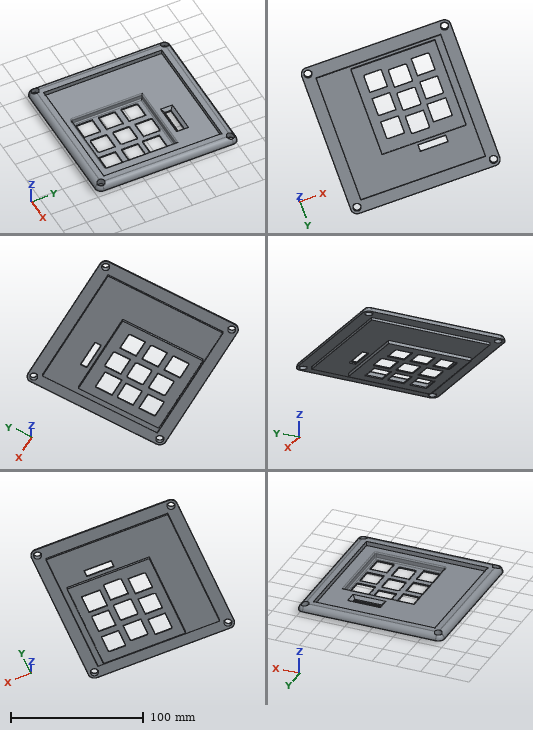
import cadquery as cq

plate_size = 120.0
rim_radius = 5.0
hole_diameter = 6.0
hole_offset = plate_size / 2 - rim_radius

tray_size = 100.3
tray_drop = 2.0
recess_depth = 3.6
tray_floor = rim_radius - recess_depth

box_drop = 2.6
box_bottom = -tray_drop - box_drop
keypad_x = 10.9
keypad_y = -13.2
pocket_width = 57.6
pocket_length = 60.0
box_wall = 5.0
edge_radius = 1.0
web_thickness = 1.0
web_top = box_bottom + web_thickness

window_x = 16.2
window_y = 27.2
window_width = 22.2
window_length = 5.3
window_splay = 2.4

key_size = 14.0
wide_key_size = 14.5
middle_key_length = 14.3
key_corner_radius = 1.2
key_pitch = 19.2
column_offset = 19.2
side_column_y = -14.4
middle_column_y = -12.0
odd_key_width = 15.0
odd_key_x = 29.9
odd_key_y = 4.0


def block(width, length, bottom, top, x=0.0, y=0.0):
    """Upright box centred on (x, y) between two heights."""
    return (
        cq.Workplane("XY", origin=(x, y, bottom))
        .rect(width, length)
        .extrude(top - bottom)
    )


def rounded_plate():
    """Plate whose upright corners and top edge share one radius, meeting in ball corners."""
    block_bottom = -rim_radius
    deep_block = block(plate_size, plate_size, block_bottom, rim_radius)
    deep_block = deep_block.edges("|Z or >Z").fillet(rim_radius)
    return deep_block.cut(block(plate_size, plate_size, block_bottom, 0))


def keypad_pocket():
    """Pocket with two rounded upright corners and a rounded floor edge."""
    pocket = block(pocket_width, pocket_length, web_top, tray_floor, keypad_x, keypad_y)
    pocket = pocket.edges("|Z and <Y").fillet(edge_radius)
    return pocket.faces("<Z").edges().fillet(edge_radius)


def display_window():
    """Straight opening below a four-sided splay."""
    opening = block(window_width, window_length, -tray_drop, tray_floor, window_x, window_y)
    splay = (
        cq.Workplane("XY", origin=(window_x, window_y, tray_floor))
        .rect(window_width + 2 * window_splay, window_length + 2 * window_splay)
        .workplane(offset=-window_splay)
        .rect(window_width, window_length)
        .loft(ruled=True)
    )
    return opening.union(splay)


def key_opening(width, length, x, y, corners):
    """Opening through the web; only the selected upright corners are rounded."""
    key = block(width, length, box_bottom, web_top, x, y)
    return key.edges("|Z").edges(corners).fillet(key_corner_radius)


box = block(
    pocket_width + 2 * box_wall,
    pocket_length + 2 * box_wall,
    box_bottom,
    0,
    keypad_x,
    keypad_y,
)
tray = block(tray_size, tray_size, -tray_drop, rim_radius)
recess = block(tray_size, tray_size, tray_floor, rim_radius)
result = rounded_plate().union(tray).union(box).cut(recess)

corner_holes = (
    cq.Workplane("XY")
    .rect(2 * hole_offset, 2 * hole_offset, forConstruction=True)
    .vertices()
    .circle(hole_diameter / 2)
    .extrude(rim_radius)
)
result = result.cut(corner_holes)

result = result.cut(keypad_pocket())
half_width = pocket_width / 2 + edge_radius
half_length = pocket_length / 2 + edge_radius
mouth_edges = cq.selectors.BoxSelector(
    (keypad_x - half_width, keypad_y - half_length, tray_floor - edge_radius / 2),
    (keypad_x + half_width, keypad_y + half_length, tray_floor + edge_radius / 2),
)
result = result.edges(mouth_edges).fillet(edge_radius)

result = result.cut(display_window())

rounded_corners = {
    1: ("<X and >Y", "(<X or >X) and >Y"),
    0: ("<X and >Y", "<X or >X"),
    -1: ("<X and <Y", "(<X or >X) and <Y"),
}
for row, (left, middle) in rounded_corners.items():
    side_y = side_column_y + row * key_pitch
    middle_y = middle_column_y + row * key_pitch
    result = result.cut(key_opening(key_size, key_size, keypad_x - column_offset, side_y, left))
    result = result.cut(key_opening(wide_key_size, middle_key_length, keypad_x, middle_y, middle))

for row, right in ((0, ">X and >Y"), (-1, ">X and <Y")):
    side_y = side_column_y + row * key_pitch
    result = result.cut(key_opening(key_size, key_size, keypad_x + column_offset, side_y, right))

result = result.cut(block(odd_key_width, wide_key_size, box_bottom, web_top, odd_key_x, odd_key_y))